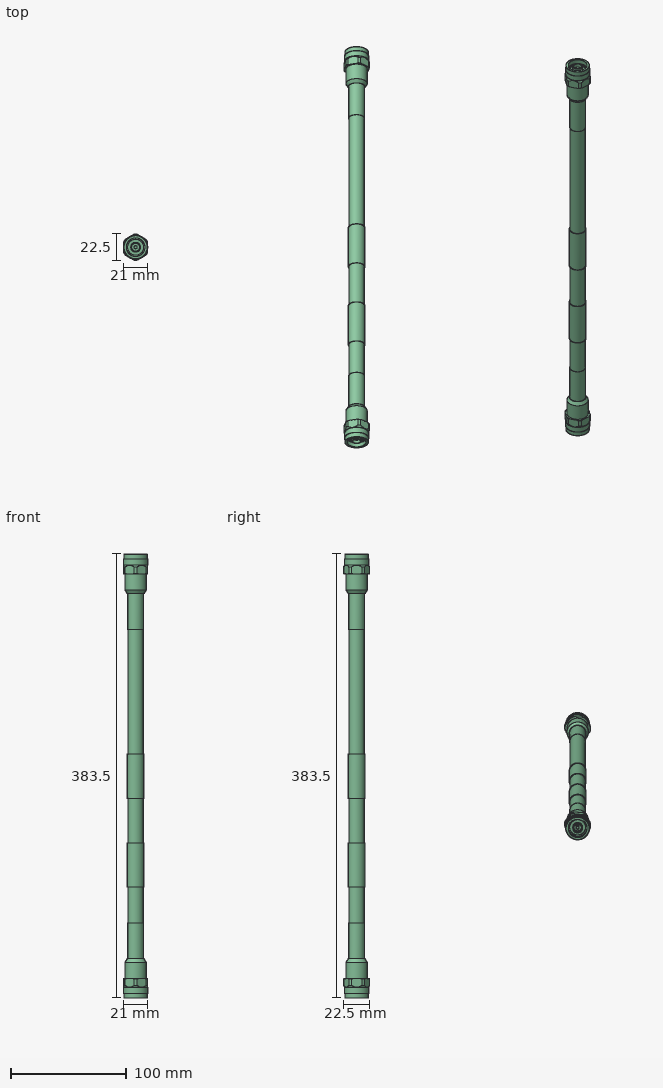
import cadquery as cq
import math

total_length = 383.5
half_length = total_length / 2

rim_radius = 20.5 / 2
rim_chamfer = 0.2
collar_radius = 21.0 / 2
collar_start = 4.2
collar_end = 9.2
barrel_radius = 18.5 / 2
barrel_end = 31.0
taper_radius = 14.5 / 2
taper_end = 34.0
tail_radius = 13.8 / 2
tail_end = 65.2

hex_across_flats = 20.7
hex_corner_radius = 22.5 / 2
hex_chamfer_height = 2.0
hex_chamfer_width = 1.0
hex_back_chamfer = 0.5
hex_end = 17.0

socket_radius = 16.0 / 2
socket_depth = 4.0
step_radius = 13.8 / 2
step_depth = 5.0
contact_outer_radius = 8.5 / 2
contact_bore_radius = 7.0 / 2
contact_top = 1.0
contact_floor = 5.8
pin_radius = 2.5 / 2
pin_top = 2.5

cable_radius = 13.5 / 2
sleeve_radius = 14.5 / 2
sleeve_length = 38.5
sleeve_centres = [0.0, -76.7]


def rod(radius, start, end):
    """Cylinder between two depths below the mating face at z = 0."""
    return cq.Workplane("XY").workplane(offset=-end).circle(radius).extrude(end - start)


def connector_barrel():
    """Turned outside of the connector: rim, collar, barrel, taper and tail."""
    return (
        cq.Workplane("XZ")
        .lineTo(rim_radius - rim_chamfer, 0)
        .lineTo(rim_radius, -rim_chamfer)
        .lineTo(rim_radius, -collar_start)
        .lineTo(collar_radius, -collar_start)
        .lineTo(collar_radius, -collar_end)
        .lineTo(barrel_radius, -collar_end)
        .lineTo(barrel_radius, -barrel_end)
        .lineTo(taper_radius, -taper_end)
        .lineTo(tail_radius, -taper_end)
        .lineTo(tail_radius, -tail_end)
        .lineTo(0, -tail_end)
        .close()
        .revolve(360, (0, 0, 0), (0, 1, 0))
    )


def hexagon_section():
    """Hexagon with corners on Y, its corners turned round and chamfered at both ends."""
    across_corners = hex_across_flats / math.cos(math.pi / 6)
    hexagon = (
        cq.Workplane("XY")
        .workplane(offset=-hex_end)
        .polygon(6, across_corners)
        .extrude(hex_end - collar_end)
        .rotate((0, 0, 0), (0, 0, 1), 30)
    )
    turned_blank = (
        rod(hex_corner_radius, collar_end, hex_end)
        .faces(">Z")
        .chamfer(hex_chamfer_height, hex_chamfer_width)
        .faces("<Z")
        .chamfer(hex_back_chamfer)
    )
    return hexagon.intersect(turned_blank)


def make_connector():
    """Connector with its mating face at z = 0, pointing up."""
    body = connector_barrel().union(hexagon_section())

    body = body.cut(rod(socket_radius, 0, socket_depth))
    body = body.cut(rod(step_radius, socket_depth, step_depth))

    body = body.union(rod(contact_outer_radius, contact_top, step_depth))
    body = body.cut(rod(contact_bore_radius, contact_top, contact_floor))
    return body.union(rod(pin_radius, pin_top, contact_floor))


def make_cable():
    """Plain round cable from one connector tail to the other."""
    cable_end = half_length - tail_end
    return cq.Workplane("XY").workplane(offset=-cable_end).circle(cable_radius).extrude(2 * cable_end)


def make_sleeve(centre):
    """Tubular marker sleeve that fits over the cable."""
    return (
        cq.Workplane("XY")
        .workplane(offset=centre - sleeve_length / 2)
        .circle(sleeve_radius)
        .circle(cable_radius)
        .extrude(sleeve_length)
    )


upper_connector = make_connector().translate((0, 0, half_length))
connectors = [upper_connector, upper_connector.mirror("XY")]
cable = make_cable()
sleeves = [make_sleeve(centre) for centre in sleeve_centres]

bodies = [*connectors, cable, *sleeves]

result = cq.Compound.makeCompound([solid for body in bodies for solid in body.solids().vals()])